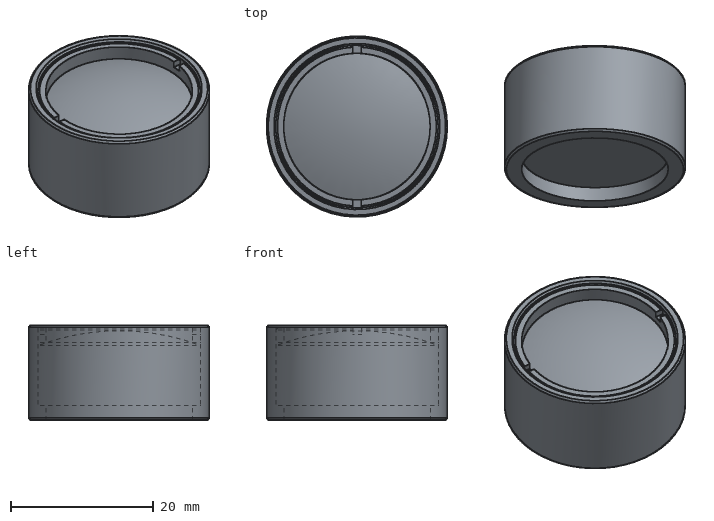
import cadquery as cq

outer_diameter = 25.4
outer_radius = outer_diameter / 2
housing_height = 13.34
bore_radius = 11.4
rim_chamfer_width = 0.25
rim_chamfer_height = 0.3
mouth_chamfer_width = 0.25
mouth_chamfer_height = 0.3

aperture_radius = 10.29
ring_recess = 0.38
ring_height = 2.05
ring_chamfer = 0.25
slot_width = 1.17
slot_depth = 0.95

dome_rise = 1.68

ring_top = housing_height - ring_recess
ring_bottom = ring_top - ring_height
lip_height = ring_height

dome_radius = (aperture_radius**2 + dome_rise**2) / (2 * dome_rise)
apex_height = ring_bottom + dome_rise
dome_center_height = apex_height - dome_radius
lens_rim_height = dome_center_height + (dome_radius**2 - bore_radius**2) ** 0.5


def make_housing():
    """Revolved tube with chamfered rims, a bore lead-in and a lip that carries the lens."""
    rim_radius = outer_radius - rim_chamfer_width
    profile = [
        (aperture_radius, 0),
        (rim_radius, 0),
        (outer_radius, rim_chamfer_height),
        (outer_radius, housing_height - rim_chamfer_height),
        (rim_radius, housing_height),
        (bore_radius + mouth_chamfer_width, housing_height),
        (bore_radius, housing_height - mouth_chamfer_height),
        (bore_radius, lip_height),
        (aperture_radius, lip_height),
    ]
    return cq.Workplane("XZ").polyline(profile).close().revolve(360, (0, 0), (0, 1))


def make_lens():
    """Disc with a spherical top face, resting on the housing lip."""
    return (
        cq.Workplane("XZ")
        .moveTo(0, lip_height)
        .lineTo(bore_radius, lip_height)
        .lineTo(bore_radius, lens_rim_height)
        .radiusArc((0, apex_height), -dome_radius)
        .close()
        .revolve(360, (0, 0), (0, 1))
    )


def make_retaining_ring():
    """Ring with a chamfered top edge and two opposite spanner slots along Y."""
    ring = (
        cq.Workplane("XY", origin=(0, 0, ring_bottom))
        .circle(bore_radius)
        .extrude(ring_height)
        .faces(">Z")
        .chamfer(ring_chamfer)
        .faces("<Z")
        .workplane()
        .circle(aperture_radius)
        .cutThruAll()
    )
    slots = (
        cq.Workplane("XY", origin=(0, 0, ring_top - slot_depth))
        .rect(slot_width, 2 * bore_radius)
        .extrude(slot_depth)
    )
    return ring.cut(slots).solids()


housing = make_housing()
lens = make_lens()
retaining_ring = make_retaining_ring()

result = cq.Compound.makeCompound([housing.val(), lens.val(), retaining_ring.val()])